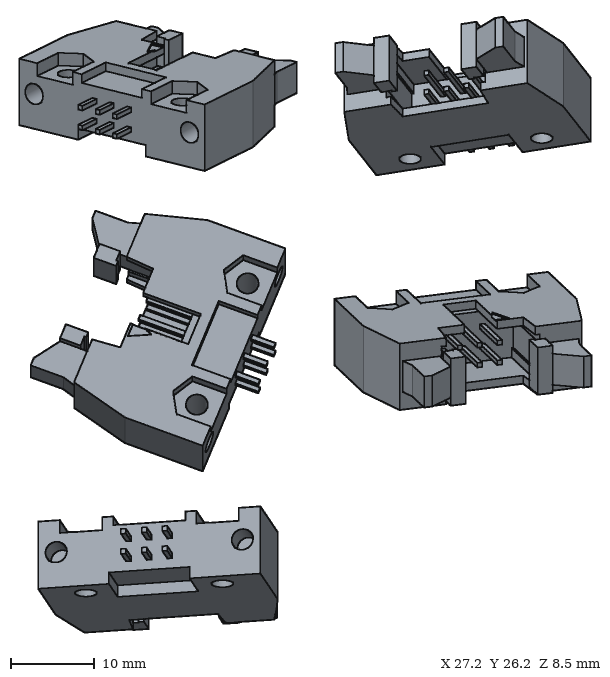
import cadquery as cq

body_width = 27.2
body_height = 8.5
half_width = body_width / 2
half_height = body_height / 2
shoulder_y = 10.0
mouth_y = 13.8
horn_top_y = 17.3
horn_outer_x = 11.61
horn_inner_x = 5.68
mouth_half_width = 5.4

cavity_half_width = 6.25
cavity_height = 6.36
cavity_floor_y = 7.4
key_slot_width = 4.15
key_slot_floor_y = 6.36

top_recess_width = 8.85
top_recess_length = 4.98
top_recess_depth = 1.12
bottom_recess_width = 9.87
bottom_recess_length = top_recess_length
bottom_recess_depth = 1.45

hole_diameter = 2.6
mount_x = 8.35
mount_y = 2.8
pocket_width = 5.2
pocket_side_length = 4.38
pocket_apex_y = 5.85
pocket_depth = 1.63
rear_hole_x = 11.4
rear_hole_z = 0.22
rear_hole_depth = 3.26

pin_size = 0.6
pin_pitch = 2.53
pin_rear_y = -2.95
pin_front_y = 13.46

mark_top_y = pin_front_y
mark_apex_y = 10.9
mark_half_width = 1.2
mark_depth = 0.2

latch_thickness = 3.97
latch_tip_y = 23.25
latch_tip_inner_x = 9.65
latch_outer_x = 10.65
latch_bend_y = 19.07
latch_wide_x = 11.2
latch_inner_x = 6.5
latch_foot_y = cavity_floor_y
hook_height = 6.05
hook_top_y = 21.1
hook_bottom_y = 18.47
hook_tip_x = 4.57
lip_inner_x = 5.22
lip_bottom_y = 18.22


def plate(points, z_low, z_high):
    """Extrude an XY outline between two heights."""
    return cq.Workplane("XY").workplane(offset=z_low).polyline(points).close().extrude(z_high - z_low)


def block(x_low, x_high, y_low, y_high, z_low, z_high):
    """Box given by its limits along each axis."""
    corners = [(x_low, y_low), (x_high, y_low), (x_high, y_high), (x_low, y_high)]
    return plate(corners, z_low, z_high)


def make_housing():
    right_side = [
        (half_width, 0),
        (half_width, shoulder_y),
        (horn_outer_x, horn_top_y),
        (horn_inner_x, horn_top_y),
        (mouth_half_width, mouth_y),
    ]
    left_side = [(-x, y) for x, y in reversed(right_side)]
    return plate(right_side + left_side, -half_height, half_height)


def make_cavity():
    """Socket cavity, open between the horns, with the keying slot in its upper wall."""
    half_cavity = cavity_height / 2
    cavity = block(-cavity_half_width, cavity_half_width, cavity_floor_y, horn_top_y, -half_cavity, half_cavity)
    half_slot = key_slot_width / 2
    key_slot = block(-half_slot, half_slot, key_slot_floor_y, mouth_y, half_cavity, half_height)
    return cavity.union(key_slot)


def make_recesses():
    half_top = top_recess_width / 2
    half_bottom = bottom_recess_width / 2
    top_floor = half_height - top_recess_depth
    bottom_floor = bottom_recess_depth - half_height
    top = block(-half_top, half_top, 0, top_recess_length, top_floor, half_height)
    bottom = block(-half_bottom, half_bottom, 0, bottom_recess_length, -half_height, bottom_floor)
    return top.union(bottom)


def make_mount_cut(side):
    """Pointed pocket with a through hole, plus the blind hole in the rear face."""
    center_x = side * mount_x
    half_pocket = pocket_width / 2
    outline = [
        (center_x - half_pocket, 0),
        (center_x + half_pocket, 0),
        (center_x + half_pocket, pocket_side_length),
        (center_x, pocket_apex_y),
        (center_x - half_pocket, pocket_side_length),
    ]
    pocket = plate(outline, half_height - pocket_depth, half_height)
    radius = hole_diameter / 2
    bottom_face = cq.Workplane("XY").workplane(offset=-half_height)
    through_hole = bottom_face.center(center_x, mount_y).circle(radius).extrude(body_height)
    rear_hole = (
        cq.Workplane("XZ").center(side * rear_hole_x, rear_hole_z).circle(radius).extrude(-rear_hole_depth)
    )
    return pocket.union(through_hole).union(rear_hole)


def make_pin_one_mark():
    outline = [
        (-pin_pitch - mark_half_width, mark_top_y),
        (-pin_pitch + mark_half_width, mark_top_y),
        (-pin_pitch, mark_apex_y),
    ]
    return plate(outline, half_height - mark_depth, half_height)


def make_pins():
    centers = [(column * pin_pitch, row * pin_pitch) for column in (-1, 0, 1) for row in (-0.5, 0.5)]
    length = pin_front_y - pin_rear_y
    rear_ends = cq.Workplane("XZ", origin=(0, pin_rear_y, 0))
    return rear_ends.pushPoints(centers).rect(pin_size, pin_size).extrude(-length)


def make_latch_clearance(side):
    """Shallow groove in the cavity wall, level with the inner face of the latch."""
    outline = [
        (side * mouth_half_width, latch_foot_y),
        (side * latch_inner_x, latch_foot_y),
        (side * latch_inner_x, horn_top_y),
        (side * mouth_half_width, horn_top_y),
    ]
    return plate(outline, -latch_thickness / 2, latch_thickness / 2)


def make_latch(side):
    arm_outline = [
        (latch_inner_x, latch_foot_y),
        (latch_wide_x, latch_foot_y),
        (latch_wide_x, horn_top_y),
        (latch_outer_x, latch_bend_y),
        (latch_outer_x, latch_tip_y),
        (latch_tip_inner_x, latch_tip_y),
        (latch_inner_x, hook_top_y),
    ]
    hook_outline = [
        (latch_inner_x, hook_top_y),
        (hook_tip_x, hook_top_y),
        (hook_tip_x, lip_bottom_y),
        (lip_inner_x, lip_bottom_y),
        (lip_inner_x, hook_bottom_y),
        (latch_inner_x, hook_bottom_y),
    ]
    arm = plate([(side * x, y) for x, y in arm_outline], -latch_thickness / 2, latch_thickness / 2)
    hook = plate([(side * x, y) for x, y in hook_outline], -hook_height / 2, hook_height / 2)
    return arm.union(hook)


result = make_housing().cut(make_cavity()).cut(make_recesses()).cut(make_pin_one_mark())
for side in (-1, 1):
    result = result.cut(make_mount_cut(side)).cut(make_latch_clearance(side)).union(make_latch(side))
result = result.union(make_pins())